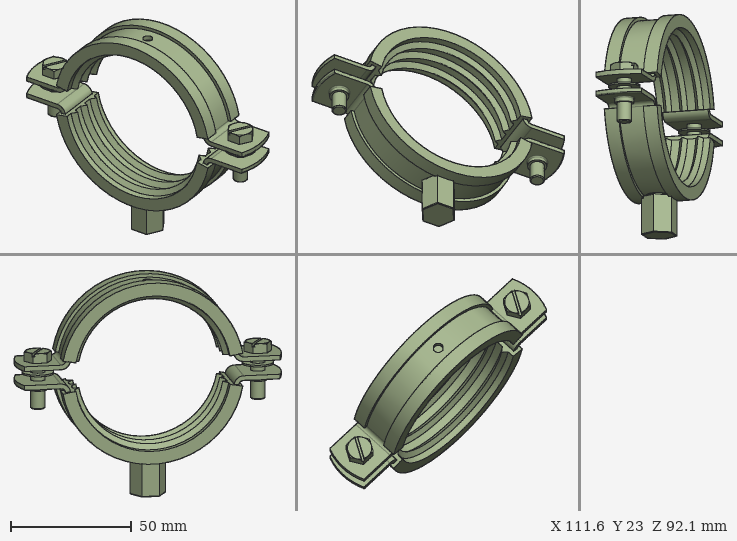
import cadquery as cq
import math


strap_outer_radius = 37.1
strap_thickness = 2.0
strap_inner_radius = strap_outer_radius - strap_thickness
strap_width = 19.9
ear_gap = 6.0
ear_tip_x = 55.8
ear_corner_x = 53.8
ear_inner_z = ear_gap / 2
ear_outer_z = ear_inner_z + strap_thickness

bend_inner_radius = 2.1
bend_outer_radius = bend_inner_radius + strap_thickness
bend_center_z = ear_outer_z + bend_inner_radius
end_angle = math.asin(bend_center_z / (strap_outer_radius + bend_inner_radius))
bend_center_x = (strap_outer_radius + bend_inner_radius) * math.cos(end_angle)
locating_hole_diameter = 4.1

liner_outer_radius = 38.5
liner_inner_radius = 33.0
liner_width = 23.0
liner_window_width = 11.0
rib_tip_radius = 30.8
rib_width = 3.3
rib_pitch = 6.9
rib_count = 3

screw_x = 46.3
screw_diameter = 6.0
screw_bottom_z = -15.2
screw_end_chamfer = 0.5
head_across_flats = 10.0
head_height = 4.1
head_chamfer_angle = math.radians(30)
slot_width = 1.1
slot_depth = 1.3
slot_angle = 60.0
washer_diameter = 13.2
washer_thickness = 0.7
collar_diameter = 7.9
collar_height = 2.1
collar_root_fillet = 0.5

connector_across_flats = 13.1
connector_shoulder_z = -37.4
connector_bottom_z = -53.6
connector_bottom_chamfer = 0.3
connector_neck_diameter = 11.8


def corner_diameter(across_flats):
    return across_flats / math.cos(math.radians(30))


def polar(radius, angle):
    return radius * math.cos(angle), radius * math.sin(angle)


def mirrored(point):
    return -point[0], point[1]


def bend_midpoint(radius):
    """Middle of a bend arc, which turns from straight down to facing the ring axis."""
    dx, dz = polar(radius, (end_angle - math.pi - math.pi / 2) / 2)
    return bend_center_x + dx, bend_center_z + dz


def make_plain_strap():
    """Upper half ring with its two bends and ears."""
    outer_end = polar(strap_outer_radius, end_angle)
    inner_end = polar(strap_inner_radius, end_angle)
    inner_bend = bend_midpoint(bend_inner_radius)
    outer_bend = bend_midpoint(bend_outer_radius)
    strap = (
        cq.Workplane("XZ")
        .moveTo(ear_tip_x, ear_outer_z)
        .lineTo(bend_center_x, ear_outer_z)
        .threePointArc(inner_bend, outer_end)
        .threePointArc((0, strap_outer_radius), mirrored(outer_end))
        .threePointArc(mirrored(inner_bend), (-bend_center_x, ear_outer_z))
        .lineTo(-ear_tip_x, ear_outer_z)
        .lineTo(-ear_tip_x, ear_inner_z)
        .lineTo(-bend_center_x, ear_inner_z)
        .threePointArc(mirrored(outer_bend), mirrored(inner_end))
        .threePointArc((0, strap_inner_radius), inner_end)
        .threePointArc(outer_bend, (bend_center_x, ear_inner_z))
        .lineTo(ear_tip_x, ear_inner_z)
        .close()
        .extrude(strap_width / 2, both=True)
    )
    return strap.intersect(make_rounded_plan())


def make_rounded_plan():
    """Tall block with the strap's outline from above: straight sides, bowed ends."""
    half_width = strap_width / 2
    return (
        cq.Workplane("XY")
        .moveTo(-ear_corner_x, -half_width)
        .lineTo(ear_corner_x, -half_width)
        .threePointArc((ear_tip_x, 0), (ear_corner_x, half_width))
        .lineTo(-ear_corner_x, half_width)
        .threePointArc((-ear_tip_x, 0), (-ear_corner_x, -half_width))
        .close()
        .extrude(liner_outer_radius)
    )


def make_screw_bores():
    return (
        cq.Workplane("XY")
        .pushPoints([(-screw_x, 0), (screw_x, 0)])
        .circle(screw_diameter / 2)
        .extrude(strap_outer_radius, both=True)
    )


def make_upper_strap():
    locating_hole = cq.Workplane("XY").circle(locating_hole_diameter / 2).extrude(liner_outer_radius)
    return make_plain_strap().cut(make_screw_bores()).cut(locating_hole)


def make_lower_strap():
    strap = make_plain_strap().mirror("XY")
    for x in (-screw_x, screw_x):
        collar = (
            cq.Workplane("XY", origin=(x, 0, -ear_outer_z))
            .circle(collar_diameter / 2)
            .extrude(-collar_height)
        )
        strap = strap.union(collar)
    collar_roots = cq.selectors.BoxSelector(
        (-ear_tip_x, -collar_diameter, -ear_outer_z - collar_root_fillet / 2),
        (ear_tip_x, collar_diameter, -ear_outer_z + collar_root_fillet / 2),
    )
    strap = strap.edges(collar_roots).edges("%CIRCLE").fillet(collar_root_fillet)
    return strap.cut(make_screw_bores())


def make_liner():
    """Upper liner: a ribbed section wrapped around the strap, swept about the ring axis."""
    half_width = liner_width / 2
    half_window = liner_window_width / 2
    half_strap = strap_width / 2
    section = [
        (liner_inner_radius, half_width),
        (liner_outer_radius, half_width),
        (liner_outer_radius, half_window),
        (strap_outer_radius, half_window),
        (strap_outer_radius, half_strap),
        (strap_inner_radius, half_strap),
        (strap_inner_radius, -half_strap),
        (strap_outer_radius, -half_strap),
        (strap_outer_radius, -half_window),
        (liner_outer_radius, -half_window),
        (liner_outer_radius, -half_width),
        (liner_inner_radius, -half_width),
    ]
    for i in range(rib_count):
        rib_y = (i - (rib_count - 1) / 2) * rib_pitch
        section += [
            (liner_inner_radius, rib_y - rib_width / 2),
            (rib_tip_radius, rib_y),
            (liner_inner_radius, rib_y + rib_width / 2),
        ]
    end_degrees = math.degrees(end_angle)
    return (
        cq.Workplane("XY")
        .polyline(section)
        .close()
        .revolve(180 - 2 * end_degrees, (0, 0), (0, -1))
        .rotate((0, 0, 0), (0, -1, 0), end_degrees)
    )


def make_connector():
    """Hexagonal bar with a round neck whose top is shaped to sit on the strap."""
    hexagon = (
        cq.Workplane("XY", origin=(0, 0, connector_bottom_z))
        .polygon(6, corner_diameter(connector_across_flats))
        .extrude(connector_shoulder_z - connector_bottom_z)
        .faces("<Z")
        .chamfer(connector_bottom_chamfer)
    )
    neck = cq.Workplane("XY").circle(connector_neck_diameter / 2).extrude(connector_shoulder_z)
    ring = cq.Workplane("XZ").circle(strap_outer_radius).extrude(liner_width, both=True)
    return hexagon.union(neck).cut(ring)


def make_screw(x):
    """Slotted hexagon screw standing on the upper ear."""
    head = (
        cq.Workplane("XY")
        .polygon(6, corner_diameter(head_across_flats))
        .extrude(head_height)
    )
    top_radius = head_across_flats / 2
    trim_radius = top_radius + head_height / math.tan(head_chamfer_angle)
    trim_cone = cq.Workplane(cq.Solid.makeCone(trim_radius, top_radius, head_height))
    slot = (
        cq.Workplane("XY", origin=(0, 0, head_height - slot_depth))
        .transformed(rotate=(0, 0, slot_angle))
        .rect(2 * head_across_flats, slot_width)
        .extrude(slot_depth)
    )
    shank = (
        cq.Workplane("XY")
        .circle(screw_diameter / 2)
        .extrude(screw_bottom_z - ear_outer_z)
        .faces("<Z")
        .chamfer(screw_end_chamfer)
    )
    screw = head.intersect(trim_cone).cut(slot).union(shank)
    return screw.translate((x, 0, ear_outer_z))


def make_washer(x):
    """Thin washer on the shank, midway between the ears."""
    return (
        cq.Workplane("XY", origin=(x, 0, -washer_thickness / 2))
        .circle(washer_diameter / 2)
        .circle(screw_diameter / 2)
        .extrude(washer_thickness)
    )


upper_strap = make_upper_strap()
lower_strap = make_lower_strap()
upper_liner = make_liner()
connector = make_connector()
lower_liner = make_liner().mirror("XY").cut(connector)

screws = []
washers = []
for side_x in (-screw_x, screw_x):
    screws.append(make_screw(side_x).val())
    washers.append(make_washer(side_x).val())

result = cq.Compound.makeCompound([
    upper_strap.val(),
    lower_strap.val(),
    upper_liner.val(),
    lower_liner.val(),
    connector.val(),
    *screws,
    *washers,
])